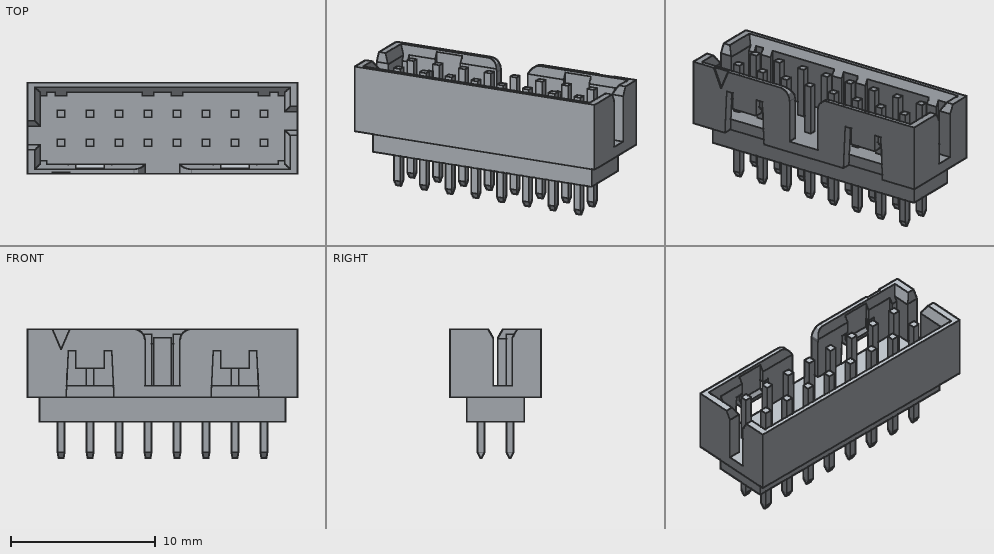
import cadquery as cq
import math

SHROUD_LENGTH = 18.65
SHROUD_WIDTH = 6.3
SHROUD_HEIGHT = 4.7
BASE_LENGTH = 17.0
BASE_WIDTH = 4.0
BASE_HEIGHT = 1.7
FLOOR_THICKNESS = 0.8

shroud_top = BASE_HEIGHT + SHROUD_HEIGHT
floor_z = BASE_HEIGHT + FLOOR_THICKNESS
end_x = SHROUD_LENGTH / 2
front_y = -SHROUD_WIDTH / 2

WALL = 0.9
LEAD_IN_ANGLE = math.radians(30)
SIDE_LIP = 0.32
END_LIP = 0.52
RELIEF_DEPTH = 0.24
RELIEF_LENGTH = 16.0
RIB_WIDTH = 0.8
RIB_POSITIONS = (-7.0, -1.0, 1.0, 7.0)

cavity_length = SHROUD_LENGTH - 2 * WALL
cavity_width = SHROUD_WIDTH - 2 * WALL

PIN_COLUMNS = 8
PIN_ROWS = 2
PITCH = 2.0
PIN_SIZE = 0.5
PIN_TAIL = 2.5
PIN_TOP_DROP = 0.35
TIP_LENGTH = 0.4
TIP_SIZE_X = 0.35
TIP_SIZE_Y = 0.1

KEY_SLOT_WIDTH = 2.4
KEY_SLOT_RADIUS = 0.8
END_SLOT_WIDTH = 1.3
END_SLOT_OFFSET = 0.5
END_SLOT_CHAMFER_WIDTH = 0.35
END_SLOT_CHAMFER_DEPTH = END_SLOT_CHAMFER_WIDTH / math.tan(LEAD_IN_ANGLE)

WINDOW_POSITIONS = (-5.0, 5.0)
WINDOW_TOP_WIDTH = 3.0
WINDOW_BOTTOM_WIDTH = 3.3
WINDOW_HEIGHT = 3.2
TONGUE_WIDTH = 1.98
TONGUE_BOTTOM = 2.0
TONGUE_THICKNESS = 0.40
HOOK_HEIGHT = 0.25

MARK_X = -7.0
MARK_WIDTH = 1.2
MARK_HEIGHT = 1.4
MARK_DEPTH = 0.1


def block(x_range, y_range, z_range):
    """Axis-aligned box given by its limits."""
    x0, x1 = x_range
    y0, y1 = y_range
    z0, z1 = z_range
    return cq.Workplane("XY").box(x1 - x0, y1 - y0, z1 - z0, centered=False).translate((x0, y0, z0))


def front_prism(outline, y_start, y_end):
    """Extrude an outline of XZ points from y_start to y_end."""
    plane = cq.Workplane("XZ", origin=(0, y_start, 0))
    return plane.polyline(outline).close().extrude(y_start - y_end)


def side_prism(outline, x_start, x_end):
    """Extrude an outline of YZ points from x_start to x_end."""
    plane = cq.Workplane("YZ", origin=(x_start, 0, 0))
    return plane.polyline(outline).close().extrude(x_end - x_start)


def body_blank():
    base = cq.Workplane("XY").box(BASE_LENGTH, BASE_WIDTH, BASE_HEIGHT, centered=(True, True, False))
    shroud = cq.Workplane("XY").box(
        SHROUD_LENGTH, SHROUD_WIDTH, SHROUD_HEIGHT, centered=(True, True, False)
    )
    return base.union(shroud.translate((0, 0, BASE_HEIGHT)))


def cavity():
    x = cavity_length / 2
    y = cavity_width / 2
    return block((-x, x), (-y, y), (floor_z, shroud_top))


def lead_in():
    """Tapered mouth, wide at the rim and narrowing downward at the lead-in angle.

    The end wall slopes stop at the cavity ends, higher up than the long wall slopes,
    which carry on down along the whole cavity length.
    """
    inset = WALL - SIDE_LIP
    depth = inset / math.tan(LEAD_IN_ANGLE)
    length = SHROUD_LENGTH - 2 * END_LIP
    width = SHROUD_WIDTH - 2 * SIDE_LIP
    mouth = (
        cq.Workplane("XY", origin=(0, 0, shroud_top))
        .rect(length, width)
        .workplane(offset=-depth)
        .rect(length - 2 * inset, width - 2 * inset)
        .loft(ruled=True)
    )
    bottom_z = shroud_top - depth
    flare_section = [
        (-cavity_width / 2, bottom_z),
        (cavity_width / 2, bottom_z),
        (width / 2, shroud_top),
        (-width / 2, shroud_top),
    ]
    return mouth.union(side_prism(flare_section, -cavity_length / 2, cavity_length / 2))


def wall_reliefs():
    """Shallow recesses in both long walls, split by ribs on the back wall.

    Each recess is topped by the lead-in slope, so it only reaches up to that slope.
    """
    half = RELIEF_LENGTH / 2
    y = cavity_width / 2
    top = shroud_top - (WALL - SIDE_LIP - RELIEF_DEPTH) / math.tan(LEAD_IN_ANGLE)
    reliefs = block((-half, half), (-y - RELIEF_DEPTH, y + RELIEF_DEPTH), (floor_z, top))
    for x in RIB_POSITIONS:
        rib = block((x - RIB_WIDTH / 2, x + RIB_WIDTH / 2), (y, y + RELIEF_DEPTH), (floor_z, top))
        reliefs = reliefs.cut(rib)
    return reliefs


def key_slot():
    """Open slot in the middle of the front wall with rounded upper corners."""
    half = KEY_SLOT_WIDTH / 2
    r = KEY_SLOT_RADIUS
    bend = r * (1 - math.sqrt(0.5))
    return (
        cq.Workplane("XZ", origin=(0, front_y + WALL, 0))
        .moveTo(-half, floor_z)
        .lineTo(half, floor_z)
        .lineTo(half, shroud_top - r)
        .threePointArc((half + bend, shroud_top - bend), (half + r, shroud_top))
        .lineTo(-half - r, shroud_top)
        .threePointArc((-half - bend, shroud_top - bend), (-half, shroud_top - r))
        .close()
        .extrude(WALL)
    )


def end_slot():
    """Open slot in the -X end wall with a flared mouth."""
    y0 = -END_SLOT_OFFSET - END_SLOT_WIDTH / 2
    y1 = y0 + END_SLOT_WIDTH
    flare_z = shroud_top - END_SLOT_CHAMFER_DEPTH
    outline = [
        (y0, floor_z),
        (y1, floor_z),
        (y1, flare_z),
        (y1 + END_SLOT_CHAMFER_WIDTH, shroud_top),
        (y0 - END_SLOT_CHAMFER_WIDTH, shroud_top),
        (y0, flare_z),
    ]
    return side_prism(outline, -end_x, -end_x + WALL)


def latch_window(x):
    """Tapered opening around a tongue; below the cavity floor it continues as a notch."""
    top = WINDOW_TOP_WIDTH / 2
    bottom = WINDOW_BOTTOM_WIDTH / 2
    top_z = BASE_HEIGHT + WINDOW_HEIGHT
    tongue_z = BASE_HEIGHT + TONGUE_BOTTOM
    outline = [(x - bottom, BASE_HEIGHT), (x + bottom, BASE_HEIGHT), (x + top, top_z), (x - top, top_z)]
    opening = front_prism(outline, front_y, front_y + WALL - RELIEF_DEPTH)
    tongue = block(
        (x - TONGUE_WIDTH / 2, x + TONGUE_WIDTH / 2), (front_y, front_y + WALL), (tongue_z, top_z)
    )
    return opening.cut(tongue)


def tongue_pocket(x):
    """Pocket that thins the inner side of a tongue, leaving a sloped hook at its lower end."""
    face_y = front_y + WALL - RELIEF_DEPTH
    thin_y = front_y + TONGUE_THICKNESS
    hook_z = BASE_HEIGHT + TONGUE_BOTTOM + HOOK_HEIGHT
    slope_end_z = hook_z + (face_y - thin_y)
    top_z = shroud_top - (TONGUE_THICKNESS - SIDE_LIP) / math.tan(LEAD_IN_ANGLE)
    outline = [(face_y, hook_z), (thin_y, slope_end_z), (thin_y, top_z), (face_y, top_z)]
    return side_prism(outline, x - TONGUE_WIDTH / 2, x + TONGUE_WIDTH / 2)


def pin_one_mark():
    half = MARK_WIDTH / 2
    outline = [(MARK_X - half, shroud_top), (MARK_X + half, shroud_top), (MARK_X, shroud_top - MARK_HEIGHT)]
    return front_prism(outline, front_y, front_y + MARK_DEPTH)


def pin():
    """Square pin on the Z axis with a tapered lower tip."""
    taper_z = -PIN_TAIL + TIP_LENGTH
    half = PIN_SIZE / 2
    shank = block((-half, half), (-half, half), (taper_z, shroud_top - PIN_TOP_DROP))
    tip = (
        cq.Workplane("XY", origin=(0, 0, taper_z))
        .rect(PIN_SIZE, PIN_SIZE)
        .workplane(offset=-TIP_LENGTH)
        .rect(TIP_SIZE_X, TIP_SIZE_Y)
        .loft(ruled=True)
    )
    return shank.union(tip)


def build():
    part = body_blank().cut(cavity()).cut(lead_in()).cut(wall_reliefs()).cut(key_slot())
    for angle in (0, 180):
        part = part.cut(end_slot().rotate((0, 0, 0), (0, 0, 1), angle))
    for x in WINDOW_POSITIONS:
        part = part.cut(latch_window(x)).cut(tongue_pocket(x))
    part = part.cut(pin_one_mark())
    for column in range(PIN_COLUMNS):
        for row in range(PIN_ROWS):
            x = (column - (PIN_COLUMNS - 1) / 2) * PITCH
            y = (row - (PIN_ROWS - 1) / 2) * PITCH
            part = part.union(pin().translate((x, y, 0)))
    return part


result = build()